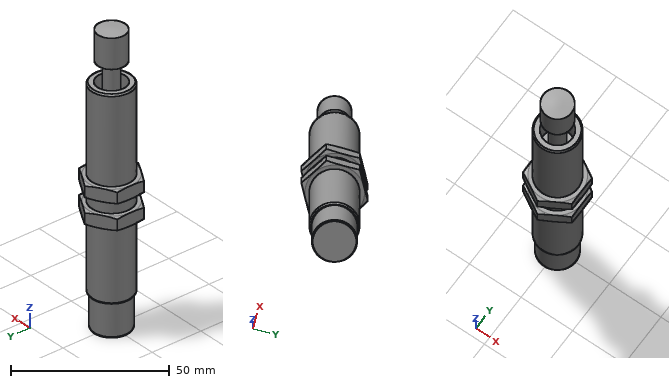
import cadquery as cq
import math

total_length = 110.8

cap_diameter = 11.0
cap_length = 12.0
cap_cone_height = 0.39
rod_diameter = 6.0
rod_exposed_length = 7.9

barrel_diameter = 16.0
barrel_end_diameter = 15.0
barrel_chamfer_height = 0.7
bore_diameter = 11.2
bore_depth = cap_length
tail_diameter = 14.4
tail_length = 13.0
tail_chamfer_height = 0.5
tail_chamfer_width = 0.3

nut_corner_diameter = 21.9
nut_height = 5.0
nut_pitch = 10.0
lower_nut_bottom = 41.9
nut_count = 2
nut_face_diameter = 18.8
nut_chamfer_angle = 15.0

cap_bottom = total_length - cap_length
barrel_top = cap_bottom - rod_exposed_length
bore_floor = barrel_top - bore_depth


def revolve_profile(points):
    """Revolve a closed (radius, height) outline about the Z axis."""
    return cq.Workplane("XZ").polyline(points).close().revolve(360, (0, 0), (0, 1))


def make_absorber():
    """Barrel, rod and cap turned as one solid."""
    outline = [
        (0, 0),
        (tail_diameter / 2 - tail_chamfer_width, 0),
        (tail_diameter / 2, tail_chamfer_height),
        (tail_diameter / 2, tail_length),
        (barrel_end_diameter / 2, tail_length),
        (barrel_diameter / 2, tail_length + barrel_chamfer_height),
        (barrel_diameter / 2, barrel_top - barrel_chamfer_height),
        (barrel_end_diameter / 2, barrel_top),
        (bore_diameter / 2, barrel_top),
        (bore_diameter / 2, bore_floor),
        (rod_diameter / 2, bore_floor),
        (rod_diameter / 2, cap_bottom),
        (cap_diameter / 2, cap_bottom),
        (cap_diameter / 2, total_length - cap_cone_height),
        (0, total_length),
    ]
    return revolve_profile(outline)


def make_nut(bottom):
    """Hexagonal nut with conically chamfered corners on both faces."""
    hexagon = (
        cq.Workplane("XY")
        .polygon(6, nut_corner_diameter)
        .circle(barrel_diameter / 2)
        .extrude(nut_height)
        .rotate((0, 0, 0), (0, 0, 1), 30)
    )
    face_radius = nut_face_diameter / 2
    corner_radius = nut_corner_diameter / 2
    corner_drop = (corner_radius - face_radius) * math.tan(math.radians(nut_chamfer_angle))
    chamfer_envelope = revolve_profile([
        (0, 0),
        (face_radius, 0),
        (corner_radius, corner_drop),
        (corner_radius, nut_height - corner_drop),
        (face_radius, nut_height),
        (0, nut_height),
    ])
    return hexagon.intersect(chamfer_envelope).translate((0, 0, bottom))


absorber = make_absorber()
nuts = [make_nut(lower_nut_bottom + i * nut_pitch) for i in range(nut_count)]

result = cq.Compound.makeCompound([absorber.val(), *[nut.val() for nut in nuts]])